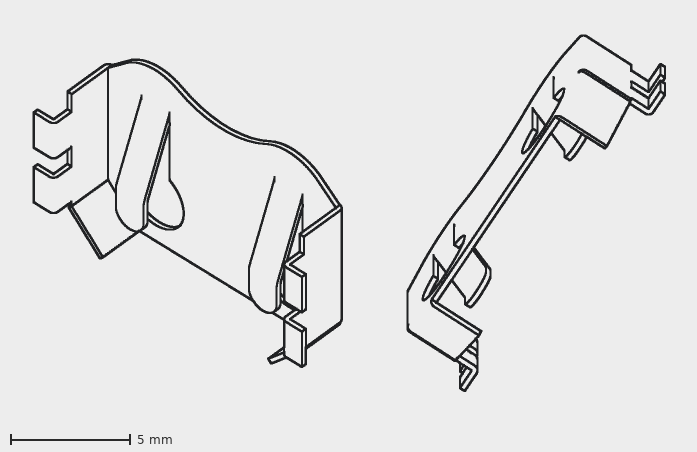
import cadquery as cq
import math


sheet = 0.25
total_length = 15.3
total_depth = 3.6

plate_half_width = 6.5
shoulder_z = 8.1
corner_rise = 1.79
lobe_x = 3.8
lobe_top_z = 9.61
lobe_radius = 2.6
lobe_end_x = 5.35
dip_z = 8.6

wall_depth = 2.5
wall_bottom_z = corner_rise + 0.02
foot_width = 1.99
foot_bottoms_z = (2.03, 5.11)

finger_x = lobe_x
finger_width = 1.59
finger_root_z = 7.7
finger_knee_z = 3.5
finger_depth = 1.84
bend_inner_radius = 0.49
bend_outer_radius = bend_inner_radius + sheet
hole_z = 2.51
hole_radius = 1.6


def make_plate():
    """Flat plate with two lobes and a hollow, the three arcs running tangent."""
    lobe_z = lobe_top_z - lobe_radius
    drop = lobe_top_z - dip_z
    centre_distance = (lobe_x**2 + drop**2) / (2 * drop)
    dip_radius = centre_distance - lobe_radius
    dip_centre_z = dip_z + dip_radius
    join_x = lobe_x * dip_radius / centre_distance
    join_z = dip_centre_z - math.sqrt(dip_radius**2 - join_x**2)
    lobe_end_z = lobe_z + math.sqrt(lobe_radius**2 - (lobe_end_x - lobe_x)**2)
    bottom_half_width = plate_half_width - corner_rise
    return (
        cq.Workplane("XZ")
        .moveTo(-bottom_half_width, 0)
        .lineTo(bottom_half_width, 0)
        .lineTo(plate_half_width, corner_rise)
        .lineTo(plate_half_width, shoulder_z)
        .lineTo(lobe_end_x, lobe_end_z)
        .threePointArc((lobe_x, lobe_top_z), (join_x, join_z))
        .threePointArc((0, dip_z), (-join_x, join_z))
        .threePointArc((-lobe_x, lobe_top_z), (-lobe_end_x, lobe_end_z))
        .lineTo(-plate_half_width, shoulder_z)
        .lineTo(-plate_half_width, corner_rise)
        .close()
        .extrude(sheet)
    )


def make_flange(length):
    """Flange of wall depth along +Z, its inner face on X = 0 and its back edge rounded."""
    arc_offset = sheet * math.sqrt(0.5)
    return (
        cq.Workplane("XY")
        .threePointArc((arc_offset, arc_offset - sheet), (sheet, -sheet))
        .lineTo(sheet, -wall_depth)
        .lineTo(0, -wall_depth)
        .close()
        .extrude(length)
    )


def make_side_wall():
    """Right-hand side wall."""
    wall = make_flange(shoulder_z - wall_bottom_z)
    return wall.translate((plate_half_width, 0, wall_bottom_z))


def make_corner_tab():
    """Flange along the right-hand 45 degree bottom corner."""
    tab = make_flange(corner_rise * math.sqrt(2))
    tab = tab.rotate((0, 0, 0), (0, 1, 0), 45)
    return tab.translate((plate_half_width - corner_rise, 0, 0))


def make_foot(bottom_z):
    """Right-hand foot: continues the side wall forward, then folds outward."""
    outer_x = plate_half_width + sheet
    fold_y = sheet - total_depth
    arc_offset = sheet * math.sqrt(0.5)
    return (
        cq.Workplane("XY", origin=(0, 0, bottom_z))
        .moveTo(plate_half_width, -wall_depth)
        .lineTo(outer_x, -wall_depth)
        .lineTo(outer_x, fold_y)
        .lineTo(total_length / 2, fold_y)
        .lineTo(total_length / 2, -total_depth)
        .lineTo(outer_x, -total_depth)
        .threePointArc((outer_x - arc_offset, fold_y - arc_offset), (plate_half_width, fold_y))
        .close()
        .extrude(foot_width)
    )


def make_finger_opening():
    """Right-hand round hole, with the slot above it that the finger is bent out of."""
    hole = cq.Workplane("XZ").center(finger_x, hole_z).circle(hole_radius).extrude(sheet)
    slot_height = finger_root_z - hole_z
    slot = (
        cq.Workplane("XZ")
        .center(finger_x, hole_z + slot_height / 2)
        .rect(finger_width, slot_height)
        .extrude(sheet)
    )
    return hole.union(slot)


def make_finger():
    """Right-hand finger: bends out of the plate, slopes forward, ends in a round-tipped pad."""
    height = finger_root_z - finger_knee_z
    offset = finger_depth - sheet
    radius_sum = bend_inner_radius + bend_outer_radius
    slope_length = math.sqrt(height**2 + (offset - radius_sum)**2 - radius_sum**2)
    angle = math.atan2(offset - radius_sum, height) + math.atan2(radius_sum, slope_length)

    def bend(radius):
        return radius * (1 - math.cos(angle)), radius * math.sin(angle)

    inner_y, inner_z = bend(bend_inner_radius)
    outer_y, outer_z = bend(bend_outer_radius)
    tip_radius = finger_width / 2
    tip_z = hole_z - tip_radius
    pad_back_y = sheet - finger_depth
    strip = (
        cq.Workplane("YZ", origin=(finger_x, 0, 0))
        .moveTo(0, finger_root_z)
        .radiusArc((-outer_y, finger_root_z - outer_z), bend_outer_radius)
        .lineTo(pad_back_y + inner_y, finger_knee_z + inner_z)
        .radiusArc((pad_back_y, finger_knee_z), -bend_inner_radius)
        .lineTo(pad_back_y, tip_z)
        .lineTo(-finger_depth, tip_z)
        .lineTo(-finger_depth, finger_knee_z)
        .radiusArc((outer_y - finger_depth, finger_knee_z + outer_z), bend_outer_radius)
        .lineTo(-sheet - inner_y, finger_root_z - inner_z)
        .radiusArc((-sheet, finger_root_z), -bend_inner_radius)
        .close()
        .extrude(tip_radius, both=True)
    )
    front_shape = (
        cq.Workplane("XZ")
        .moveTo(finger_x - tip_radius, finger_root_z)
        .lineTo(finger_x - tip_radius, hole_z)
        .threePointArc((finger_x, tip_z), (finger_x + tip_radius, hole_z))
        .lineTo(finger_x + tip_radius, finger_root_z)
        .close()
        .extrude(finger_depth)
    )
    return strip.intersect(front_shape)


def with_mirror(body):
    """Return a right-hand body together with its left-hand twin."""
    return body.union(body.mirror("YZ"))


result = make_plate().cut(with_mirror(make_finger_opening()))
side_wall = make_side_wall()
for foot_z in foot_bottoms_z:
    side_wall = side_wall.union(make_foot(foot_z))
for feature in (side_wall, make_corner_tab(), make_finger()):
    result = result.union(with_mirror(feature))